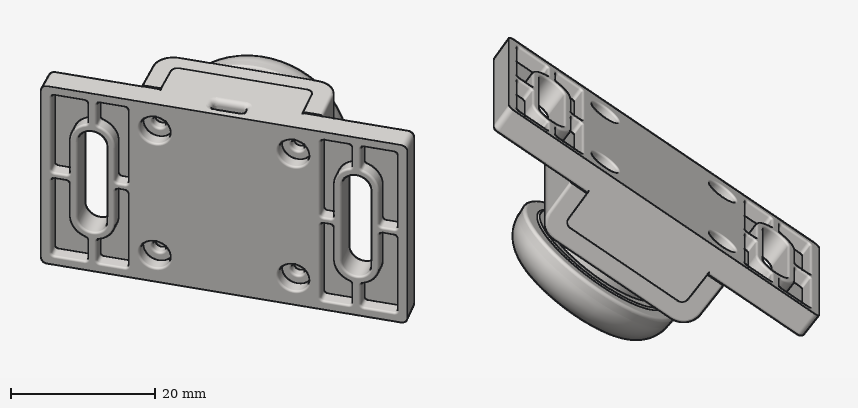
import cadquery as cq
import math

DRAFT = 1.0
DRAFT_SLOPE = math.tan(math.radians(DRAFT))

PLATE_WIDTH = 53.0
PLATE_HEIGHT = 30.0
PLATE_THICKNESS = 4.05
PLATE_CORNER_RADIUS = 0.95
OUTER_EDGE_FILLET = 0.5
MOUTH_FILLET = 0.3

BLOCK_WIDTH = 20.65
BLOCK_TOP = 9.55
BLOCK_CORNER_RADIUS = 1.0

SLOT_X = 19.1
SLOT_RADIUS = 2.1
SLOT_CENTRE_DISTANCE = 12.7

POCKET_DEPTH = 2.0
POCKET_INNER_X = 13.9
POCKET_OUTER_X = 25.0
POCKET_OUTER_Z = 13.55
POCKET_CORNER_RADIUS = 0.55
SLOT_WALL = 1.15
UPRIGHT_RIB = 1.25
CROSS_RIB = 0.95

HOLE_X = 10.0
HOLE_Z = 10.5
COUNTERBORE_RADIUS = 2.2
COUNTERBORE_DEPTH = 2.0
HOLE_RADIUS = 0.95
HOLE_DEPTH = 3.5

RECESS_LENGTH = 4.65
RECESS_WIDTH = 1.6
RECESS_CORNER_RADIUS = 0.5
RECESS_Y = 2.5
RECESS_DEPTH = 1.6
RECESS_MOUTH_FILLET = 0.85

BRACKET_WIDTH = 26.35
BRACKET_TOP = 12.35
BRACKET_CORNER_RADIUS = 2.95

STEM_RADIUS = 9.2
KNOB_BOTTOM = 14.85
KNOB_RIM_BOTTOM = 15.05
KNOB_RIM_TOP = 16.65
KNOB_TOP = 22.6
KNOB_SEAT_RADIUS = 10.9
KNOB_SEAT_CHAMFER = 0.3
KNOB_RIM_RADIUS = 13.05
KNOB_RIM_TOP_RADIUS = 12.95
KNOB_RIM_FILLET = 0.5
KNOB_DOME_RADIUS = 9.55
KNOB_DOME_BASE = 21.1


def plane_at(y):
    """Workplane across the Y axis, with extrusion towards +Y."""
    return cq.Workplane(cq.Plane(origin=(0, y, 0), xDir=(1, 0, 0), normal=(0, 1, 0)))


def drafted_block(width, height, bottom, top):
    """Drafted block from bottom to top whose width and height are those of its walls at Y = 0."""
    inset = 2 * bottom * DRAFT_SLOPE
    return (
        plane_at(bottom)
        .rect(width - inset, height - inset)
        .extrude(top - bottom, taper=DRAFT)
    )


def slot_prism(radius, depth):
    """Upright slot through the plate at the origin, from the front face to the given depth."""
    return (
        plane_at(0)
        .slot2D(SLOT_CENTRE_DISTANCE + 2 * radius, 2 * radius, 90)
        .extrude(depth)
    )


def pocket_group():
    """The four pockets around the slot on the +X side."""
    width = POCKET_OUTER_X - POCKET_INNER_X
    middle_x = (POCKET_OUTER_X + POCKET_INNER_X) / 2
    area = plane_at(0).center(middle_x, 0).rect(width, 2 * POCKET_OUTER_Z).extrude(POCKET_DEPTH)
    slot_surround = slot_prism(SLOT_RADIUS + SLOT_WALL, POCKET_DEPTH).translate((SLOT_X, 0, 0))
    upright_rib = plane_at(0).center(SLOT_X, 0).rect(UPRIGHT_RIB, PLATE_HEIGHT).extrude(POCKET_DEPTH)
    cross_rib = plane_at(0).center(SLOT_X, 0).rect(PLATE_WIDTH, CROSS_RIB).extrude(POCKET_DEPTH)
    pockets = area.cut(slot_surround).cut(upright_rib).cut(cross_rib)
    return pockets.edges("|Y").fillet(POCKET_CORNER_RADIUS)


def screw_holes():
    """Four blind holes, each with a counterbore open to the front and a rounded step."""
    centres = [(x, z) for x in (-HOLE_X, HOLE_X) for z in (-HOLE_Z, HOLE_Z)]
    counterbores = plane_at(0).pushPoints(centres).circle(COUNTERBORE_RADIUS).extrude(COUNTERBORE_DEPTH)
    bores = plane_at(0).pushPoints(centres).circle(HOLE_RADIUS).extrude(HOLE_DEPTH)
    holes = counterbores.union(bores)
    step_edges = holes.edges(cq.selectors.RadiusNthSelector(0)).edges("<Y")
    return step_edges.fillet(MOUTH_FILLET)


def end_recess():
    """Rounded recess sunk into the upper end."""
    top_z = PLATE_HEIGHT / 2 - RECESS_Y * DRAFT_SLOPE
    return (
        cq.Workplane("XY", origin=(0, RECESS_Y, top_z - RECESS_DEPTH))
        .rect(RECESS_LENGTH, RECESS_WIDTH)
        .extrude(2 * RECESS_DEPTH)
        .edges("|Z")
        .fillet(RECESS_CORNER_RADIUS)
    )


def recess_mouth_box():
    """Region around the mouth of the end recess."""
    return cq.selectors.BoxSelector(
        (-RECESS_LENGTH, 0.05, PLATE_HEIGHT / 2 - 0.55),
        (RECESS_LENGTH, 2 * RECESS_Y, PLATE_HEIGHT / 2 + 0.55),
    )


def make_block():
    """Drafted block, rounded along its back corners."""
    block = drafted_block(BLOCK_WIDTH, PLATE_HEIGHT, 0, BLOCK_TOP)
    return block.faces(">Y").edges("|Z").fillet(BLOCK_CORNER_RADIUS)


def make_base():
    """Plate and block in one piece, with slots, pockets, screw holes and end recess."""
    plate = drafted_block(PLATE_WIDTH, PLATE_HEIGHT, 0, PLATE_THICKNESS)
    plate = plate.edges("not(#Y)").fillet(PLATE_CORNER_RADIUS)
    plate = plate.faces(">Y").edges().fillet(OUTER_EDGE_FILLET)
    base = plate.union(make_block())

    for side in (-1, 1):
        base = base.cut(slot_prism(SLOT_RADIUS, PLATE_THICKNESS).translate((side * SLOT_X, 0, 0)))
    pockets = pocket_group()
    base = base.cut(pockets).cut(pockets.mirror("YZ"))
    base = base.cut(screw_holes())

    mouths = [edge for wire in base.faces("<Y").val().innerWires() for edge in wire.Edges()]
    base = base.newObject(mouths).fillet(MOUTH_FILLET)

    base = base.cut(end_recess())
    return base.edges(recess_mouth_box()).fillet(RECESS_MOUTH_FILLET)


def make_bracket():
    """U-shaped bracket standing on the plate and fitting over the block."""
    bracket = drafted_block(BRACKET_WIDTH, PLATE_HEIGHT, PLATE_THICKNESS, BRACKET_TOP)
    bracket = bracket.faces(">Y").edges("|Z").fillet(BRACKET_CORNER_RADIUS)
    bracket = bracket.faces("<Z or >Z").edges("not <Y").fillet(OUTER_EDGE_FILLET)
    return bracket.cut(make_block())


def make_stem():
    """Plain round stem between bracket and knob."""
    return plane_at(BRACKET_TOP).circle(STEM_RADIUS).extrude(KNOB_BOTTOM - BRACKET_TOP)


def make_knob():
    """Mushroom knob: seat, rim, rounded shoulder and shallow dome."""
    rise = KNOB_DOME_BASE - KNOB_RIM_TOP
    run = KNOB_RIM_TOP_RADIUS - KNOB_DOME_RADIUS
    dome_height = KNOB_TOP - KNOB_DOME_BASE
    dome_sphere = (KNOB_DOME_RADIUS ** 2 + dome_height ** 2) / (2 * dome_height)
    half_angle = math.asin(KNOB_DOME_RADIUS / dome_sphere) / 2
    dome_middle = (
        dome_sphere * math.sin(half_angle),
        KNOB_TOP - dome_sphere * (1 - math.cos(half_angle)),
    )
    profile = (
        cq.Workplane("XY")
        .moveTo(0, KNOB_BOTTOM)
        .lineTo(KNOB_SEAT_RADIUS - KNOB_SEAT_CHAMFER, KNOB_BOTTOM)
        .lineTo(KNOB_SEAT_RADIUS, KNOB_RIM_BOTTOM)
        .lineTo(KNOB_RIM_RADIUS - KNOB_RIM_FILLET, KNOB_RIM_BOTTOM)
        .radiusArc((KNOB_RIM_RADIUS, KNOB_RIM_BOTTOM + KNOB_RIM_FILLET), -KNOB_RIM_FILLET)
        .lineTo(KNOB_RIM_TOP_RADIUS, KNOB_RIM_TOP)
        .radiusArc((KNOB_DOME_RADIUS, KNOB_DOME_BASE), -(rise ** 2 + run ** 2) / (2 * run))
        .threePointArc(dome_middle, (0, KNOB_TOP))
        .close()
    )
    return profile.revolve(360, (0, 0, 0), (0, 1, 0))


base = make_base()
bracket = make_bracket()
stem = make_stem()
knob = make_knob()

result = cq.Compound.makeCompound([base.val(), bracket.val(), stem.val(), knob.val()])